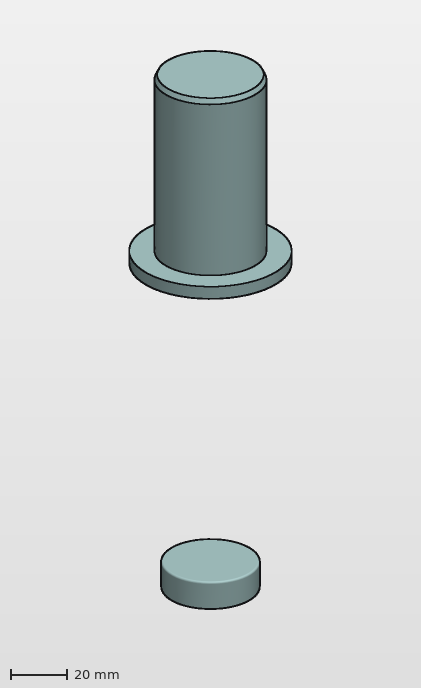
import cadquery as cq

overall_height = 204.5

flange_diameter = 58.0
flange_thickness = 5.0
pin_diameter = 40.0
pin_length = 75.0
pin_chamfer_width = 1.0
pin_chamfer_height = 2.0

disc_diameter = 35.4
disc_thickness = 11.0
disc_rim_radius = 0.8


def make_flanged_pin():
    """Round pin with a flange at its foot and a chamfered top end."""
    flange_radius = flange_diameter / 2
    pin_radius = pin_diameter / 2
    half_profile = (
        cq.Workplane("XZ")
        .moveTo(0, 0)
        .lineTo(flange_radius, 0)
        .lineTo(flange_radius, flange_thickness)
        .lineTo(pin_radius, flange_thickness)
        .lineTo(pin_radius, pin_length - pin_chamfer_height)
        .lineTo(pin_radius - pin_chamfer_width, pin_length)
        .lineTo(0, pin_length)
        .close()
    )
    pin = half_profile.revolve(360, (0, 0, 0), (0, 1, 0))
    return pin.translate((0, 0, overall_height - pin_length))


def make_disc():
    """Flat disc with both rims rounded, standing on Z = 0."""
    blank = cq.Workplane("XY").circle(disc_diameter / 2).extrude(disc_thickness)
    return blank.faces("<Z or >Z").edges().fillet(disc_rim_radius)


flanged_pin = make_flanged_pin()
disc = make_disc()

result = cq.Compound.makeCompound([flanged_pin.val(), disc.val()])